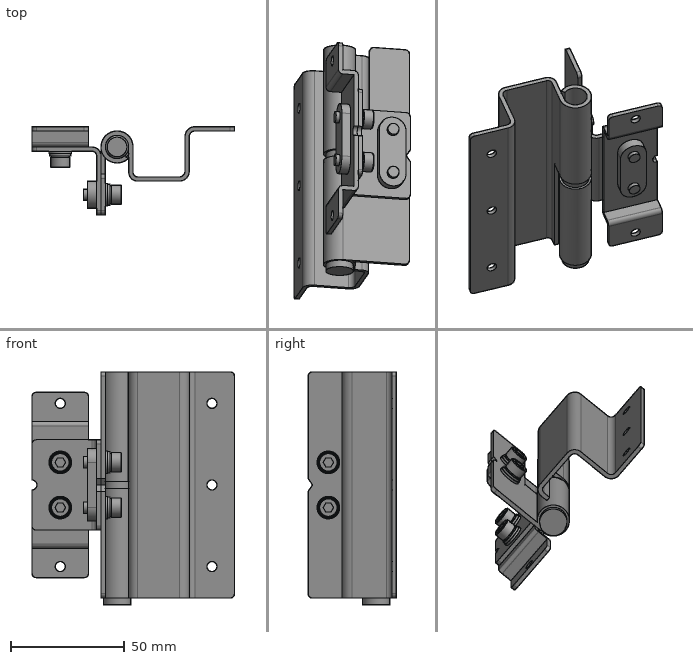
import cadquery as cq
import math


sheet = 2.0
inner_bend = 2.0
outer_bend = inner_bend + sheet
far_inner_bend = 2.5
far_outer_bend = far_inner_bend + sheet
corner_radius = 2.0
hole_diameter = 4.3

knuckle_radius = 7.1
bore_radius = knuckle_radius - sheet
curl_end_angle = 47
collar_height = 3.2
collar_radius = 6.1
pin_head_height = 3.0
pin_top_depth = 10.0
pin_chamfer = 0.8

leaf_height = 100.0
leaf_top = leaf_height / 2
back_y = 9.0
frame_right_x = 51.9
channel_right_x = 31.9
channel_bottom_y = -15.1
web_top_y = -8.0
frame_hole_edge = 10.0
hole_pitch = 36.0

wing_end_y = -30.1
upper_wing_y = -12.0
notch_depth = 2.0
notch_half_width = 2.8

bracket_left_x = -37.6
bracket_height = 40.0
mount_width = 25.0
mount_height = 82.0
mount_step_height = 55.9
mount_corner_bend = 2.0

screw_pitch = 20.0
screw_diameter = 5.0
screw_tip = 1.8
nut_plate_width = 12.0
nut_plate_thickness = 4.0
washer_diameter = 10.0
washer_thickness = 1.0
spring_washer_diameter = 9.4
spring_washer_thickness = 1.0
neck_diameter = 8.0
neck_length = 0.6
head_diameter = 8.5
head_length = 4.5
head_chamfer = 0.4
hex_across_flats = 4.0
hex_depth = 0.7
wing_screw_edge = 9.0

mount_centre_x = bracket_left_x + mount_width / 2
wing_screw_y = wing_end_y + wing_screw_edge
wing_left_x = -knuckle_radius
corner_left_x = wing_left_x - sheet

mount_joint = cq.Plane((mount_centre_x, sheet, 0), xDir=(1, 0, 0), normal=(0, -1, 0))
wing_joint = cq.Plane((corner_left_x, wing_screw_y, 0), xDir=(0, 1, 0), normal=(1, 0, 0))
screw_places = [(0, -screw_pitch / 2), (0, screw_pitch / 2)]


def block(x_range, y_range, z_range):
    """Box between the given pairs of coordinates."""
    low, high = zip(x_range, y_range, z_range)
    size = [b - a for a, b in zip(low, high)]
    return cq.Workplane("XY").box(*size, centered=False).translate(low)


def round_edges(body, places, radius):
    """Fillet the straight edges whose midpoints are at the given places."""
    for place in places:
        body = body.edges(cq.selectors.NearestToPointSelector(place)).fillet(radius)
    return body


def disc(radius, bottom, top):
    """Cylinder about the hinge axis."""
    return cq.Workplane("XY").workplane(offset=bottom).circle(radius).extrude(top - bottom)


def drill_screw_holes(body, joint):
    """Clearance holes for a pair of screws through both sheets of a joint."""
    shanks = cq.Workplane(joint).pushPoints(screw_places).circle(screw_diameter / 2).extrude(2 * sheet)
    return body.cut(shanks)


def cut_mounting_holes(body, x, heights):
    """Holes through an upright flange, parallel to Y."""
    places = [(x, z) for z in heights]
    drills = cq.Workplane("XZ").pushPoints(places).circle(hole_diameter / 2).extrude(2 * back_y, both=True)
    return body.cut(drills)


def cut_edge_notch(body):
    """Half-round notch in the left edge of the bracket pair."""
    cutter = (
        cq.Workplane("XZ").center(bracket_left_x, 0).circle(hole_diameter / 2).extrude(2 * back_y, both=True)
    )
    return body.cut(cutter)


def cut_wing_notch(body):
    """V notch in the front edge of the wing pair."""
    cutter = (
        cq.Workplane("YZ")
        .moveTo(wing_end_y, -notch_half_width)
        .lineTo(wing_end_y + notch_depth, 0)
        .lineTo(wing_end_y, notch_half_width)
        .close()
        .extrude(2 * knuckle_radius, both=True)
    )
    return body.cut(cutter)


def make_fasteners(joint):
    """Nut plate with two cap screws that clamp two sheets together."""
    plate_length = screw_pitch + nut_plate_width
    fasteners = cq.Workplane(joint).slot2D(plate_length, nut_plate_width, 90).extrude(-nut_plate_thickness)
    start = -nut_plate_thickness - screw_tip
    steps = [
        (screw_diameter, 2 * sheet - start),
        (washer_diameter, washer_thickness),
        (spring_washer_diameter, spring_washer_thickness),
        (neck_diameter, neck_length),
    ]
    for diameter, length in steps:
        step_plane = cq.Workplane(joint).workplane(offset=start)
        fasteners = fasteners.union(
            step_plane.pushPoints(screw_places).circle(diameter / 2).extrude(length)
        )
        start += length
    head_plane = cq.Workplane(joint).workplane(offset=start)
    heads = (
        head_plane.pushPoints(screw_places).circle(head_diameter / 2).extrude(head_length)
        .faces(cq.selectors.DirectionMinMaxSelector(joint.zDir)).edges().chamfer(head_chamfer)
    )
    sockets = (
        head_plane.workplane(offset=head_length - hex_depth)
        .pushPoints(screw_places)
        .polygon(6, hex_across_flats / math.cos(math.pi / 6))
        .extrude(hex_depth)
    )
    return fasteners.union(heads.cut(sockets))


def make_frame_leaf():
    """Curled upper knuckle, channel and screw-on flange in one bent sheet."""
    web_left_x = knuckle_radius - sheet
    outline = [
        (web_left_x, 0),
        (web_left_x, channel_bottom_y),
        (channel_right_x, channel_bottom_y),
        (channel_right_x, back_y - sheet),
        (frame_right_x, back_y - sheet),
        (frame_right_x, back_y),
        (channel_right_x - sheet, back_y),
        (channel_right_x - sheet, channel_bottom_y + sheet),
        (knuckle_radius, channel_bottom_y + sheet),
        (knuckle_radius, 0),
    ]
    leaf = cq.Workplane("XY").workplane(offset=-leaf_top).polyline(outline).close().extrude(leaf_height)
    bends = [
        (outline[1], outer_bend),
        (outline[8], inner_bend),
        (outline[2], far_outer_bend),
        (outline[7], far_inner_bend),
        (outline[3], far_inner_bend),
        (outline[6], far_outer_bend),
    ]
    for place, radius in bends:
        leaf = round_edges(leaf, [(*place, 0)], radius)
    flange_corners = [(frame_right_x, back_y - sheet / 2, z) for z in (-leaf_top, leaf_top)]
    leaf = round_edges(leaf, flange_corners, corner_radius)
    hole_x = frame_right_x - frame_hole_edge
    leaf = cut_mounting_holes(leaf, hole_x, (-hole_pitch, 0, hole_pitch))

    knuckle_bottom = collar_height / 2
    relief = block((0, 2 * knuckle_radius), (web_top_y, knuckle_radius), (-leaf_top, knuckle_bottom))
    leaf = leaf.cut(relief)

    ring = disc(knuckle_radius, knuckle_bottom, leaf_top).cut(disc(bore_radius, knuckle_bottom, leaf_top))
    reach = 2 * knuckle_radius
    opening = (
        cq.Workplane("XY").workplane(offset=knuckle_bottom)
        .polyline([(0, 0), (reach, 0), (reach, -reach * math.tan(math.radians(curl_end_angle)))])
        .close().extrude(leaf_top - knuckle_bottom)
    )
    return leaf.union(ring.cut(opening))


def make_pivot_leaf():
    """Lower knuckle with the pin fixed in it, and the wing bolted to the corner bracket."""
    knuckle_top = -collar_height / 2
    pin_top = leaf_top - pin_top_depth
    wing_x = (wing_left_x, wing_left_x + sheet)
    wing = block(wing_x, (wing_end_y, upper_wing_y), (-leaf_top, leaf_top))
    wing_centre_x = sum(wing_x) / 2
    wing_corners = [(wing_centre_x, wing_end_y, -leaf_top)]
    wing_corners += [(wing_centre_x, y, leaf_top) for y in (wing_end_y, upper_wing_y)]
    wing = round_edges(wing, wing_corners, corner_radius)
    wing = wing.union(block(wing_x, (upper_wing_y, 0), (-leaf_top, knuckle_top)))
    wing = drill_screw_holes(cut_wing_notch(wing), wing_joint)

    barrel = disc(knuckle_radius, -leaf_top, knuckle_top)
    collar = disc(collar_radius, knuckle_top, -knuckle_top)
    pin_head = disc(collar_radius, -leaf_top - pin_head_height, -leaf_top)
    pin = disc(bore_radius, -leaf_top, pin_top).faces(">Z").chamfer(pin_chamfer)
    return wing.union(barrel).union(collar).union(pin_head).union(pin)


def make_corner_bracket():
    """Right-angle bracket joining the mounting bracket to the wing, with the wing's fasteners."""
    outline = [
        (bracket_left_x, 0),
        (wing_left_x, 0),
        (wing_left_x, wing_end_y),
        (corner_left_x, wing_end_y),
        (corner_left_x, -sheet),
        (bracket_left_x, -sheet),
    ]
    bracket = (
        cq.Workplane("XY").workplane(offset=-bracket_height / 2)
        .polyline(outline).close().extrude(bracket_height)
    )
    bracket = round_edges(bracket, [(*outline[1], 0)], outer_bend)
    bracket = round_edges(bracket, [(*outline[4], 0)], inner_bend)
    for z in (-bracket_height / 2, bracket_height / 2):
        corners = [(bracket_left_x, -sheet / 2, z), (wing_left_x - sheet / 2, wing_end_y, z)]
        bracket = round_edges(bracket, corners, corner_radius)
    bracket = cut_wing_notch(cut_edge_notch(bracket))
    bracket = drill_screw_holes(bracket, mount_joint)
    return bracket.union(make_fasteners(wing_joint))


def make_mounting_bracket():
    """Hat-section bracket with a hole in each foot, and the fasteners that hold the corner bracket."""
    foot_end = mount_height / 2
    step = mount_step_height / 2
    outline = [
        (back_y, foot_end),
        (back_y, step - sheet),
        (sheet, step - sheet),
        (sheet, sheet - step),
        (back_y, sheet - step),
        (back_y, -foot_end),
        (back_y - sheet, -foot_end),
        (back_y - sheet, -step),
        (0, -step),
        (0, step),
        (back_y - sheet, step),
        (back_y - sheet, foot_end),
    ]
    bracket = (
        cq.Workplane("YZ").workplane(offset=bracket_left_x).polyline(outline).close().extrude(mount_width)
    )
    outside_bends = [outline[i] for i in (1, 4, 8, 9)]
    bracket = round_edges(bracket, [(mount_centre_x, y, z) for y, z in outside_bends], mount_corner_bend)
    for z in (-foot_end, foot_end):
        corners = [(x, back_y - sheet / 2, z) for x in (bracket_left_x, bracket_left_x + mount_width)]
        bracket = round_edges(bracket, corners, corner_radius)
    bracket = cut_edge_notch(bracket)
    bracket = cut_mounting_holes(bracket, mount_centre_x, (-hole_pitch, hole_pitch))
    return bracket.union(make_fasteners(mount_joint))


frame_leaf = make_frame_leaf()
pivot_leaf = make_pivot_leaf()
corner_bracket = make_corner_bracket()
mounting_bracket = make_mounting_bracket()

bodies = [frame_leaf, pivot_leaf, corner_bracket, mounting_bracket]
result = cq.Compound.makeCompound([body.solids().val() for body in bodies])